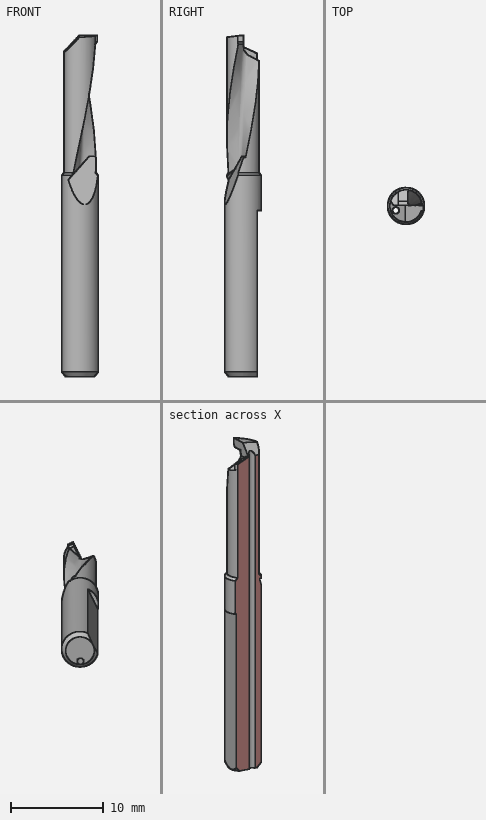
import cadquery as cq
import math

TOTAL_LENGTH = 37.0

SHANK_RADIUS = 2.0
SHANK_TOP = 21.8
END_CHAMFER_WIDTH = 0.45
END_CHAMFER_HEIGHT = 0.55
FLAT_OFFSET = 1.55
FLAT_TOP = 18.0

NECK_RADIUS = 1.75
SHOULDER_HEIGHT = 0.3

FLUTE_BOTTOM = 20.8
FLUTE_TWIST_RATE = 7.0
FLUTE_TOP_ANGLE = -10.0
FLUTE_SPAN = 112.0
FLUTE_REACH = 2.6
FLUTE_ROOT_OFFSET = 0.25
FLUTE_ROOT_ANGLE = 45.0
FLUTE_ROOT_FILLET = 0.5

RUNOUT_DIRECTION = -75.0
RUNOUT_BOTTOM = 18.66
RUNOUT_SLOPE = 17.3
RUNOUT_LEFT = (-1.3, 21.3)
RUNOUT_RIGHT = (1.0, 23.88)
RUNOUT_CORNER_X = 1.6
RUNOUT_CORNER_DROP = 0.5

RAKE_Y = 0.06
TIP_RELIEF_SLOPE = 7.0
BEVEL_START_X = -0.05
BEVEL_SLOPE = 47.0

LEDGE_Z = 35.55
LEDGE_RISE_X = 0.2
LEDGE_FALL_Y = 0.45
POCKET_LEFT_X = -0.85
POCKET_RIGHT_X = 0.45
POCKET_FLOOR_Y = 0.5
POCKET_WALL_Z = 35.4
POCKET_FLOOR_Z = 34.85
POCKET_OUTER_Z = 34.2

NOSE_X = 1.87
NOSE_ROOT_X = 0.0
NOSE_BACK_Y = -0.55
NOSE_BOTTOM = 36.0
NECK_OVERLAP = 0.12
NOSE_EDGE_HEIGHT = 0.72

COOLANT_DIAMETER = 0.7
COOLANT_POSITION = (-1.1, -0.48)

CLEARANCE = 3.0


def tangent(angle):
    return math.tan(math.radians(angle))


def polar(radius, angle):
    return (radius * math.cos(math.radians(angle)), radius * math.sin(math.radians(angle)))


def turned_blank():
    """Shank, shoulder cone and neck turned about Z."""
    return (
        cq.Workplane("XZ")
        .moveTo(0, 0)
        .lineTo(SHANK_RADIUS - END_CHAMFER_WIDTH, 0)
        .lineTo(SHANK_RADIUS, END_CHAMFER_HEIGHT)
        .lineTo(SHANK_RADIUS, SHANK_TOP)
        .lineTo(NECK_RADIUS, SHANK_TOP + SHOULDER_HEIGHT)
        .lineTo(NECK_RADIUS, TOTAL_LENGTH)
        .lineTo(0, TOTAL_LENGTH)
        .close()
        .revolve(360, (0, 0, 0), (0, 1, 0))
    )


def clamping_flat():
    """Flat on the +Y side of the lower shank."""
    return cq.Workplane("XY").box(
        2 * CLEARANCE, CLEARANCE, FLAT_TOP, centered=(True, False, False)
    ).translate((0, FLAT_OFFSET, 0))


def helical_flute():
    """Rounded V section twisted up the neck."""
    height = TOTAL_LENGTH - FLUTE_BOTTOM
    twist = FLUTE_TWIST_RATE * height
    leading = FLUTE_TOP_ANGLE - twist
    root = polar(FLUTE_ROOT_OFFSET, leading + FLUTE_ROOT_ANGLE)

    def wall_end(angle):
        """Run the wall from the root through the neck surface, out to the cutter reach."""
        edge = polar(NECK_RADIUS, angle)
        stretch = FLUTE_REACH / NECK_RADIUS
        return tuple(r + stretch * (e - r) for r, e in zip(root, edge))

    section = (
        cq.Sketch()
        .polygon([
            root,
            wall_end(leading),
            polar(2 * FLUTE_REACH, leading + FLUTE_SPAN / 2),
            wall_end(leading + FLUTE_SPAN),
            root,
        ])
        .vertices(cq.NearestToPointSelector((*root, 0)))
        .fillet(FLUTE_ROOT_FILLET)
    )
    flute = (
        cq.Workplane("XY")
        .workplane(offset=FLUTE_BOTTOM)
        .placeSketch(section)
        .twistExtrude(height, twist)
    )
    return flute.cut(below_runout_edge())


def below_runout_edge():
    """Region under the slanted and level top edges of the run-out facet."""
    right_x = RUNOUT_CORNER_X + RUNOUT_CORNER_DROP
    bottom = RUNOUT_BOTTOM - CLEARANCE
    return (
        cq.Workplane("XZ")
        .polyline([
            RUNOUT_LEFT,
            RUNOUT_RIGHT,
            (RUNOUT_CORNER_X, RUNOUT_RIGHT[1]),
            (right_x, RUNOUT_RIGHT[1] - RUNOUT_CORNER_DROP),
            (right_x, bottom),
            (RUNOUT_LEFT[0], bottom),
        ])
        .close()
        .extrude(2 * CLEARANCE, both=True)
    )


def flute_runout():
    """Leaning facet where the flute leaves the shank on the -Y side."""
    depth_at_top = (RUNOUT_RIGHT[1] - RUNOUT_BOTTOM) * tangent(RUNOUT_SLOPE)
    beyond_facet = (
        cq.Workplane("XZ")
        .polyline([
            (SHANK_RADIUS, RUNOUT_BOTTOM),
            (SHANK_RADIUS - depth_at_top, RUNOUT_RIGHT[1]),
            (SHANK_RADIUS + CLEARANCE, RUNOUT_RIGHT[1]),
            (SHANK_RADIUS + CLEARANCE, RUNOUT_BOTTOM),
        ])
        .close()
        .extrude(CLEARANCE, both=True)
        .rotate((0, 0, 0), (0, 0, 1), RUNOUT_DIRECTION)
    )
    return beyond_facet.intersect(below_runout_edge())


def ledge_cut():
    """Everything above the sloping ledge behind the cutting face."""
    top = TOTAL_LENGTH + CLEARANCE
    lean_x = math.degrees(math.atan(LEDGE_FALL_Y))
    lean_y = math.degrees(math.atan(LEDGE_RISE_X))
    above_ledge = (
        cq.Workplane("XY")
        .box(4 * CLEARANCE, 4 * CLEARANCE, 2 * CLEARANCE, centered=(True, True, False))
        .rotate((0, 0, 0), (1, 0, 0), -lean_x)
        .rotate((0, 0, 0), (0, 1, 0), -lean_y)
        .translate((-NECK_RADIUS, 0, LEDGE_Z))
    )
    behind_rake = cq.Workplane("XY").box(
        2 * CLEARANCE, CLEARANCE, top, centered=(True, False, False)
    ).translate((0, RAKE_Y, 0))
    return above_ledge.intersect(behind_rake)


def chip_pocket():
    """Stepped pocket between the ledge and the flute."""
    return (
        cq.Workplane("YZ")
        .workplane(offset=POCKET_LEFT_X)
        .polyline([
            (RAKE_Y, TOTAL_LENGTH),
            (RAKE_Y, POCKET_WALL_Z),
            (POCKET_FLOOR_Y, POCKET_FLOOR_Z),
            (NECK_RADIUS, POCKET_OUTER_Z),
            (NECK_RADIUS, TOTAL_LENGTH),
        ])
        .close()
        .extrude(POCKET_RIGHT_X - POCKET_LEFT_X)
    )


def cutting_nose():
    """Block under the cutting edge that carries the cutting edge past the neck on the +X side."""
    return (
        cq.Workplane("XZ")
        .workplane(offset=-RAKE_Y)
        .polyline([
            (NOSE_ROOT_X, TOTAL_LENGTH),
            (NOSE_X, TOTAL_LENGTH),
            (NOSE_X, TOTAL_LENGTH - NOSE_EDGE_HEIGHT),
            (NECK_RADIUS - NECK_OVERLAP, NOSE_BOTTOM),
            (NOSE_ROOT_X, NOSE_BOTTOM),
        ])
        .close()
        .extrude(RAKE_Y - NOSE_BACK_Y)
    )


def top_relief():
    """Top land falling toward -Y from the cutting edge."""
    drop = (CLEARANCE + RAKE_Y) * tangent(TIP_RELIEF_SLOPE)
    return (
        cq.Workplane("YZ")
        .polyline([
            (RAKE_Y, TOTAL_LENGTH),
            (-CLEARANCE, TOTAL_LENGTH - drop),
            (-CLEARANCE, TOTAL_LENGTH + CLEARANCE),
            (RAKE_Y, TOTAL_LENGTH + CLEARANCE),
        ])
        .close()
        .extrude(CLEARANCE, both=True)
    )


def bevel():
    """Bevel from the top land down to the -X side, leaning back like the top land."""
    drop = CLEARANCE * tangent(BEVEL_SLOPE)
    return (
        cq.Workplane("XZ")
        .polyline([
            (BEVEL_START_X, TOTAL_LENGTH),
            (BEVEL_START_X - CLEARANCE, TOTAL_LENGTH - drop),
            (BEVEL_START_X - CLEARANCE, TOTAL_LENGTH + CLEARANCE),
            (BEVEL_START_X, TOTAL_LENGTH + CLEARANCE),
        ])
        .close()
        .extrude(CLEARANCE, both=True)
        .rotate((0, 0, TOTAL_LENGTH), (1, 0, TOTAL_LENGTH), TIP_RELIEF_SLOPE)
    )


def coolant_hole():
    """Straight through hole parallel to the axis."""
    return (
        cq.Workplane("XY")
        .center(*COOLANT_POSITION)
        .circle(COOLANT_DIAMETER / 2)
        .extrude(TOTAL_LENGTH)
    )


result = turned_blank().cut(clamping_flat())
result = result.cut(helical_flute()).cut(flute_runout())
result = result.cut(ledge_cut()).cut(chip_pocket())
result = result.union(cutting_nose())
result = result.cut(top_relief()).cut(bevel())
result = result.cut(coolant_hole())